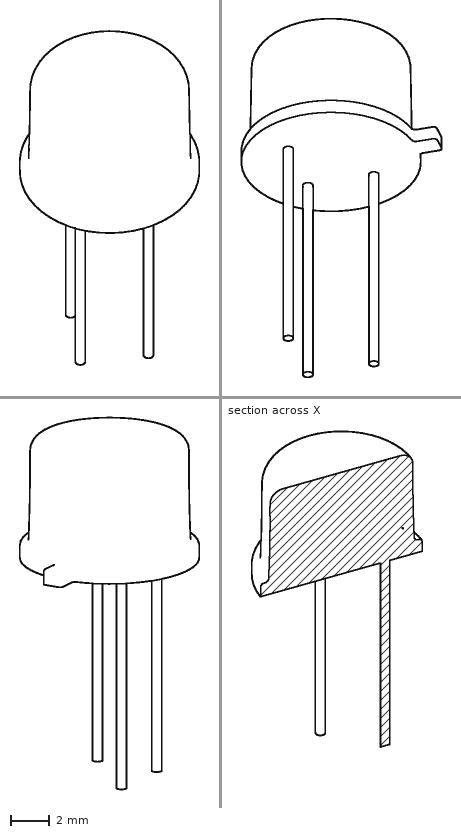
import cadquery as cq
import math

total_height = 18.42
can_height = 6.58
lead_length = total_height - can_height

flange_radius = 4.7
flange_thickness = 0.85
edge_radius = 0.2
tab_reach = 5.91
tab_width = 1.16
tab_angle = 135.0

can_base_radius = 4.24
can_shoulder_radius = 4.16
can_top_radius = 3.4
shoulder_height = 0.75

lead_circle_radius = 2.55
lead_diameter = 0.53
lead_angles = (180.0, 270.0, 0.0)
lead_overlap = 0.18


def make_flange():
    """Disc with a radial tab, rounded at its corners, roots and top edge."""
    disc = cq.Workplane("XY").circle(flange_radius).extrude(flange_thickness)
    tab = (
        cq.Workplane("XY")
        .center(tab_reach / 2, 0)
        .rect(tab_reach, tab_width)
        .extrude(flange_thickness)
    )
    flange = disc.rotate((0, 0, 0), (0, 0, 1), 180).union(tab)
    root_x = math.sqrt(flange_radius**2 - (tab_width / 2) ** 2)
    corner_zone = cq.selectors.BoxSelector(
        (root_x - edge_radius, -tab_width, 0),
        (tab_reach + edge_radius, tab_width, flange_thickness),
    )
    flange = flange.edges("|Z").edges(corner_zone).fillet(edge_radius)
    flange = flange.faces(">Z").edges().fillet(edge_radius)
    return flange.rotate((0, 0, 0), (0, 0, 1), tab_angle)


def make_can():
    """Revolved can with a concave foot and a rounded shoulder."""
    foot_top = flange_thickness + edge_radius
    foot_radius = can_base_radius + edge_radius
    shoulder_z = can_height - shoulder_height
    shoulder_width = can_shoulder_radius - can_top_radius
    diagonal = math.sqrt(0.5)
    foot_middle = (
        foot_radius - edge_radius * diagonal,
        foot_top - edge_radius * diagonal,
    )
    shoulder_middle = (
        can_top_radius + shoulder_width * diagonal,
        shoulder_z + shoulder_height * diagonal,
    )
    return (
        cq.Workplane("XZ")
        .lineTo(foot_radius, 0)
        .lineTo(foot_radius, flange_thickness)
        .threePointArc(foot_middle, (can_base_radius, foot_top))
        .lineTo(can_shoulder_radius, shoulder_z)
        .threePointArc(shoulder_middle, (can_top_radius, can_height))
        .lineTo(0, can_height)
        .close()
        .revolve(360, (0, 0, 0), (0, 1, 0))
    )


def make_lead(angle):
    """Round lead below the flange, sunk slightly into it."""
    x = lead_circle_radius * math.cos(math.radians(angle))
    y = lead_circle_radius * math.sin(math.radians(angle))
    return (
        cq.Workplane("XY")
        .workplane(offset=-lead_length)
        .center(x, y)
        .circle(lead_diameter / 2)
        .extrude(lead_length + lead_overlap)
    )


result = make_flange().union(make_can())
for lead_angle in lead_angles:
    result = result.union(make_lead(lead_angle))